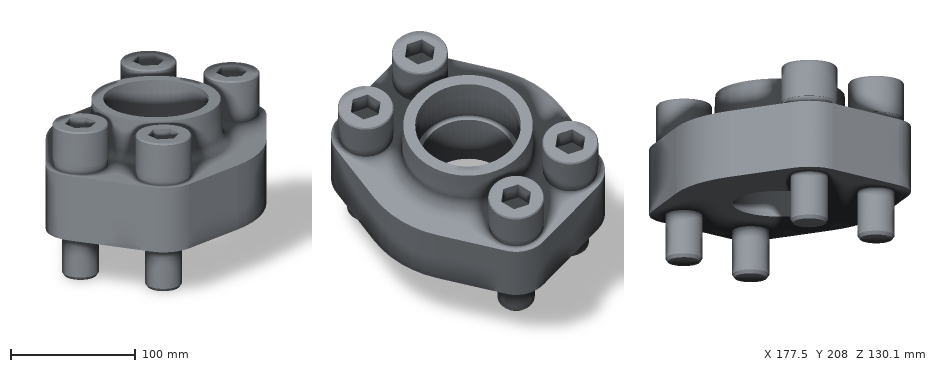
import cadquery as cq
import math

plate_width = 177.5
plate_length = 208.0
plate_thickness = 55.1
bolt_x = 35.8
bolt_y = 76.1

neck_top_diameter = 104.0
neck_base_diameter = 107.3
neck_height = 34.7
neck_fillet = 8.0
bore_diameter = 76.0
socket_diameter = 84.9
socket_depth = 40.0

washer_diameter = 44.0
washer_thickness = 5.8
head_diameter = 45.0
head_height = 30.2
head_chamfer_width = 0.8
head_chamfer_height = 1.2
hex_across_flats = 22.5
hex_depth = 16.6
shank_diameter = 30.0
shank_projection = 39.0
shank_chamfer_width = 1.9
shank_chamfer_height = 2.7


def make_plate():
    """Plate outlined by side arcs about the bore and corner arcs about the screws, joined by tangents."""
    side_radius = plate_width / 2
    corner_radius = plate_length / 2 - bolt_y

    bolt_distance = math.hypot(bolt_x, bolt_y)
    normal_angle = math.atan2(bolt_y, bolt_x) - math.acos((side_radius - corner_radius) / bolt_distance)
    mid_corner_angle = (normal_angle + math.pi / 2) / 2

    def corner_point(angle):
        return bolt_x + corner_radius * math.cos(angle), bolt_y + corner_radius * math.sin(angle)

    side_x = side_radius * math.cos(normal_angle)
    side_y = side_radius * math.sin(normal_angle)
    tangent_x, tangent_y = corner_point(normal_angle)
    middle_x, middle_y = corner_point(mid_corner_angle)
    end_y = plate_length / 2

    return (
        cq.Workplane("XY")
        .moveTo(side_x, -side_y)
        .threePointArc((side_radius, 0), (side_x, side_y))
        .lineTo(tangent_x, tangent_y)
        .threePointArc((middle_x, middle_y), (bolt_x, end_y))
        .lineTo(-bolt_x, end_y)
        .threePointArc((-middle_x, middle_y), (-tangent_x, tangent_y))
        .lineTo(-side_x, side_y)
        .threePointArc((-side_radius, 0), (-side_x, -side_y))
        .lineTo(-tangent_x, -tangent_y)
        .threePointArc((-middle_x, -middle_y), (-bolt_x, -end_y))
        .lineTo(bolt_x, -end_y)
        .threePointArc((middle_x, -middle_y), (tangent_x, -tangent_y))
        .close()
        .extrude(-plate_thickness)
    )


def add_neck(plate):
    """Tapered neck blended into the plate by a fillet around its base."""
    neck = (
        cq.Workplane("XY")
        .circle(neck_base_diameter / 2)
        .workplane(offset=neck_height)
        .circle(neck_top_diameter / 2)
        .loft()
    )
    neck_base_edge = cq.selectors.RadiusNthSelector(1)
    return plate.union(neck).faces("<Z[-2]").edges(neck_base_edge).fillet(neck_fillet)


def cut_bore(body):
    """Through bore with a wider pipe socket from the neck's top."""
    return (
        body.faces(">Z")
        .workplane(origin=(0, 0, neck_height))
        .cboreHole(bore_diameter, socket_diameter, socket_depth)
    )


def make_screw():
    """Washer, socket head and shank turned about the Z axis, with a hexagon socket in the head."""
    head_radius = head_diameter / 2
    shank_radius = shank_diameter / 2
    head_top = washer_thickness + head_height
    shank_end = -(plate_thickness + shank_projection)
    screw = (
        cq.Workplane("XZ")
        .moveTo(0, shank_end)
        .lineTo(shank_radius - shank_chamfer_width, shank_end)
        .lineTo(shank_radius, shank_end + shank_chamfer_height)
        .lineTo(shank_radius, 0)
        .lineTo(washer_diameter / 2, 0)
        .lineTo(washer_diameter / 2, washer_thickness)
        .lineTo(head_radius, washer_thickness)
        .lineTo(head_radius, head_top - head_chamfer_height)
        .lineTo(head_radius - head_chamfer_width, head_top)
        .lineTo(0, head_top)
        .close()
        .revolve(360, (0, 0), (0, 1))
    )
    hexagon = (
        cq.Workplane("XY", origin=(0, 0, head_top - hex_depth))
        .polygon(6, hex_across_flats, circumscribed=True)
        .extrude(hex_depth)
    )
    return screw.cut(hexagon)


result = cut_bore(add_neck(make_plate()))
screw = make_screw()
for x in (-bolt_x, bolt_x):
    for y in (-bolt_y, bolt_y):
        result = result.union(screw.translate((x, y, 0)))